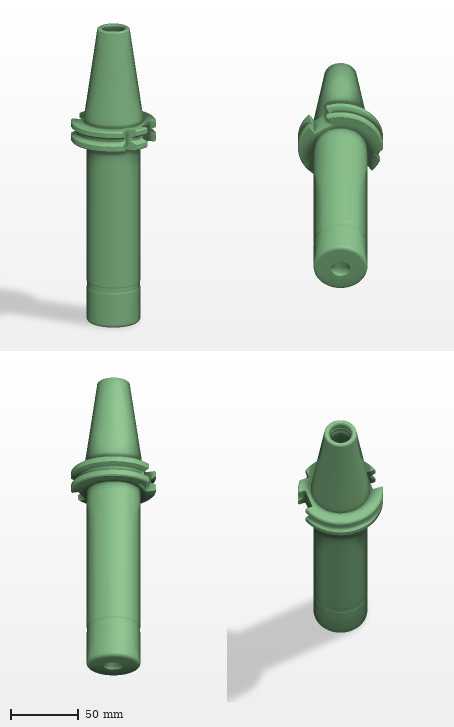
import cadquery as cq
import math

TOTAL_HEIGHT = 228.5
GAUGE_HEIGHT = 159.0
FLANGE_TOP = 156.7
FLANGE_BOTTOM = 141.0

GAUGE_RADIUS = 22.2
TAPER_RATIO = 7 / 24
TAPER_END_CHAMFER = 0.7
TAPER_END_RADIUS = GAUGE_RADIUS - (TOTAL_HEIGHT - GAUGE_HEIGHT) * TAPER_RATIO / 2
NECK_GROOVE_TOP = 158.3
NECK_GROOVE_BOTTOM = 157.4
NECK_GROOVE_DEPTH = 0.2

FLANGE_RADIUS = 31.7
FLANGE_CHAMFER = 1.0
GROOVE_CENTER = 149.0
GROOVE_MOUTH = 6.9
GROOVE_FLOOR_RADIUS = 27.9
GROOVE_FILLET = 0.5
GROOVE_HALF_ANGLE = math.radians(30)

SLOT_WIDTH = 16.0
LEFT_SLOT_FLOOR = 22.8
RIGHT_SLOT_FLOOR = 25.0
NOTCH_X = 18.3
NOTCH_Y = 18.3

BODY_RADIUS = 20.0
BAND_TOP = 32.0
BAND_BOTTOM = 26.5
BAND_DEPTH = 0.2
BAND_CHAMFER = 1.0
NOSE_FILLET = 2.5

BORE_RADIUS = 7.0
SEAT_RADIUS = 8.0
SEAT_DEPTH = 7.8
SEAT_CONE_LENGTH = 1.5
PILOT_RADIUS = 8.5
PILOT_DEPTH = 5.0
PILOT_CHAMFER = 1.0


def make_body():
    """Revolve the outer profile, from the nose up to the small taper end."""
    band_radius = BODY_RADIUS - BAND_DEPTH
    neck_radius = GAUGE_RADIUS - NECK_GROOVE_DEPTH
    flange_edge = FLANGE_RADIUS - FLANGE_CHAMFER
    groove_depth = FLANGE_RADIUS - GROOVE_FLOOR_RADIUS
    half_mouth = GROOVE_MOUTH / 2
    half_floor = half_mouth - groove_depth * math.tan(GROOVE_HALF_ANGLE)
    profile = [
        (0, 0),
        (BODY_RADIUS, 0),
        (BODY_RADIUS, BAND_BOTTOM),
        (band_radius, BAND_BOTTOM + BAND_CHAMFER),
        (band_radius, BAND_TOP - BAND_CHAMFER),
        (BODY_RADIUS, BAND_TOP),
        (BODY_RADIUS, FLANGE_BOTTOM),
        (flange_edge, FLANGE_BOTTOM),
        (FLANGE_RADIUS, FLANGE_BOTTOM + FLANGE_CHAMFER),
        (FLANGE_RADIUS, GROOVE_CENTER - half_mouth),
        (GROOVE_FLOOR_RADIUS, GROOVE_CENTER - half_floor),
        (GROOVE_FLOOR_RADIUS, GROOVE_CENTER + half_floor),
        (FLANGE_RADIUS, GROOVE_CENTER + half_mouth),
        (FLANGE_RADIUS, FLANGE_TOP - FLANGE_CHAMFER),
        (flange_edge, FLANGE_TOP),
        (GAUGE_RADIUS, FLANGE_TOP),
        (GAUGE_RADIUS, NECK_GROOVE_BOTTOM),
        (neck_radius, NECK_GROOVE_BOTTOM),
        (neck_radius, NECK_GROOVE_TOP),
        (GAUGE_RADIUS, NECK_GROOVE_TOP),
        (GAUGE_RADIUS, GAUGE_HEIGHT),
        (TAPER_END_RADIUS, TOTAL_HEIGHT),
        (0, TOTAL_HEIGHT),
    ]
    body = cq.Workplane("XZ").polyline(profile).close().revolve(360, (0, 0), (0, 1))
    floor_corners = cq.selectors.BoxSelector(
        (-FLANGE_RADIUS, -FLANGE_RADIUS, GROOVE_CENTER - half_floor - GROOVE_FILLET),
        (FLANGE_RADIUS, FLANGE_RADIUS, GROOVE_CENTER + half_floor + GROOVE_FILLET),
    )
    body = body.edges("%CIRCLE").edges(floor_corners).fillet(GROOVE_FILLET)
    body = body.faces("<Z").edges().fillet(NOSE_FILLET)
    return body.faces(">Z").edges().chamfer(TAPER_END_CHAMFER)


def flange_cutter(x_start, y_start, x_length, y_length):
    """Box as tall as the flange, starting at the given corner."""
    height = FLANGE_TOP - FLANGE_BOTTOM
    corner = (x_start, y_start, FLANGE_BOTTOM)
    return cq.Workplane("XY").box(x_length, y_length, height, centered=False).translate(corner)


def make_bore():
    """Through bore with a cone, a seat and a chamfered pilot at the taper end."""
    pilot_bottom = TOTAL_HEIGHT - PILOT_DEPTH
    seat_bottom = TOTAL_HEIGHT - SEAT_DEPTH
    profile = [
        (0, 0),
        (BORE_RADIUS, 0),
        (BORE_RADIUS, seat_bottom - SEAT_CONE_LENGTH),
        (SEAT_RADIUS, seat_bottom),
        (SEAT_RADIUS, pilot_bottom - (PILOT_RADIUS - SEAT_RADIUS)),
        (PILOT_RADIUS, pilot_bottom),
        (PILOT_RADIUS, TOTAL_HEIGHT - PILOT_CHAMFER),
        (PILOT_RADIUS + PILOT_CHAMFER, TOTAL_HEIGHT),
        (0, TOTAL_HEIGHT),
    ]
    return cq.Workplane("XZ").polyline(profile).close().revolve(360, (0, 0), (0, 1))


result = make_body()

for slot_start in (RIGHT_SLOT_FLOOR, -LEFT_SLOT_FLOOR - FLANGE_RADIUS):
    result = result.cut(flange_cutter(slot_start, -SLOT_WIDTH / 2, FLANGE_RADIUS, SLOT_WIDTH))

result = result.cut(flange_cutter(NOTCH_X, -NOTCH_Y - FLANGE_RADIUS, FLANGE_RADIUS, FLANGE_RADIUS))

result = result.cut(make_bore())